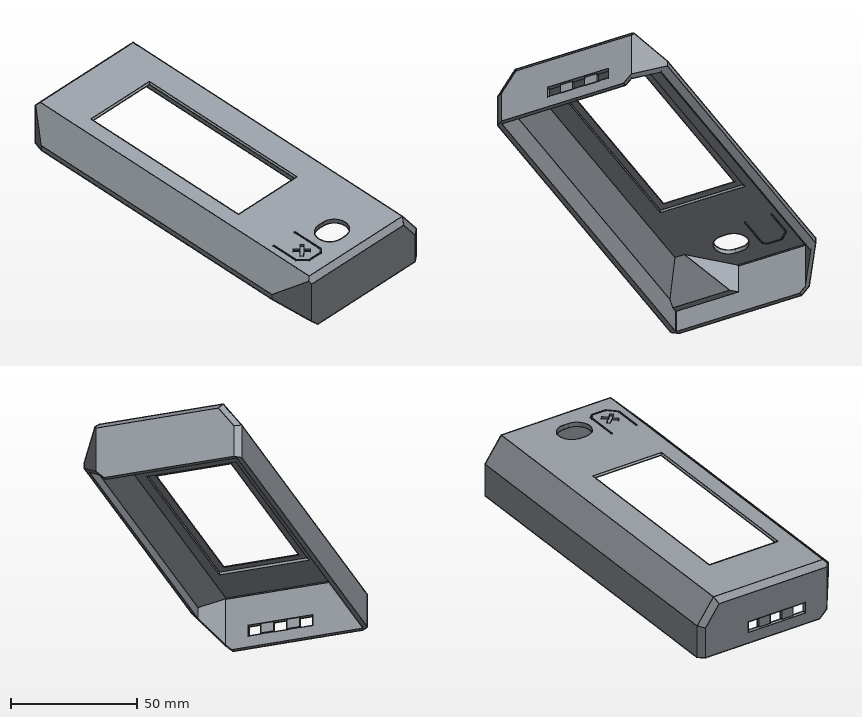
import cadquery as cq
import math

LENGTH = 155.0
DEPTH = 69.9
HEIGHT = 25.4

NOSE_BOTTOM = 12.9
NOSE_TOP = 15.3
CORNER_X = 12.9
CORNER_Y = 9.5
BACK_SLOPE_Y = 7.8
BACK_SLOPE_Z = 10.8
END_BEVEL_X = 2.0
END_BEVEL_INSET = 2.6
END_SLOPE = END_BEVEL_INSET / END_BEVEL_X

WALL = 2.0
END_WALL = 1.7
NOSE_WALL = 2.5
INNER_BEVEL_X = 0.3
CORNER_INNER_X = 12.4
CORNER_INNER_Y = 10.4

WINDOW_X = 24.3
WINDOW_Y = 17.7
WINDOW_LENGTH = 81.4
WINDOW_WIDTH = 31.3
WINDOW_BEVEL = 0.7
WINDOW_LIP = 0.8
RECESS_RIM = 3.1

KNOB_X = 139.5
KNOB_Y = 36.3
KNOB_WIDTH = 12.1
KNOB_HEIGHT = 14.5
BLOCK_LEG = 27.9
BLOCK_BOTTOM = 10.0
BLOCK_LAND = 2.6

SLIT = 0.55
BUTTON_ROOT_X = 129.1
BUTTON_TIP_X = 146.0
BUTTON_LOW_Y = 13.3
BUTTON_HIGH_Y = 25.1
BUTTON_LOW_CORNER = 3.7
BUTTON_HIGH_CORNER = 1.5
CROSS_X = 139.7
CROSS_ARM_LENGTH = 7.0
CROSS_ARM_WIDTH = 1.5
CROSS_DEPTH = 1.0

BAR_COUNT = 2
BAR_WIDTH = 5.5
BAR_THICKNESS = 1.2
BAR_RECESS = 0.6
BAR_GAP = 0.3
SLOT_Y = 19.7
SLOT_BOTTOM = 5.0
SLOT_HEIGHT = 4.8
SLOT_WIDTH = (2 * BAR_COUNT + 1) * BAR_WIDTH

MARGIN = 7.8


def box_at(x, y, z, dx, dy, dz):
    """Box from its lowest corner and its three sizes."""
    return cq.Workplane("XY").box(dx, dy, dz, centered=False).translate((x, y, z))


def plan_prism(points):
    """Upright prism, taller than the part, over an outline in X and Y."""
    base = cq.Workplane("XY").workplane(offset=-MARGIN)
    return base.polyline(points).close().extrude(HEIGHT + 2 * MARGIN)


def profile_prism(points, x_start, x_end):
    """Prism along X over an outline in Y and Z."""
    return cq.Workplane("YZ").workplane(offset=x_start).polyline(points).close().extrude(x_end - x_start)


def bevelled_roof(end, bevel, back, top):
    """Top, back slope and back wall with bevelled ends; it overshoots the front and the bottom.

    `end` is the gap to the overall length at each end, `bevel` the length of the end bevels along X.
    """
    outline = [
        (-MARGIN, -MARGIN),
        (back, -MARGIN),
        (back, top - BACK_SLOPE_Z),
        (back - BACK_SLOPE_Y, top),
        (-MARGIN, top),
    ]
    x_start = end + bevel
    x_end = LENGTH - x_start
    taper = math.degrees(math.atan(END_SLOPE))
    roof = profile_prism(outline, x_start, x_end)
    for x, direction in ((x_start, -1), (x_end, 1)):
        section = cq.Workplane("YZ").workplane(offset=x).polyline(outline).close()
        roof = roof.union(section.extrude(direction * bevel, taper=taper))
    return roof


def outer_body():
    """Roof trimmed by the nose profile and by the plan with its two cut front corners."""
    nose_profile = profile_prism(
        [
            (NOSE_BOTTOM, 0),
            (DEPTH, 0),
            (DEPTH, HEIGHT),
            (HEIGHT - NOSE_TOP, HEIGHT),
            (0, NOSE_TOP),
            (0, NOSE_BOTTOM),
        ],
        0,
        LENGTH,
    )
    plan = plan_prism(
        [
            (CORNER_X, 0),
            (LENGTH - CORNER_X, 0),
            (LENGTH, CORNER_Y),
            (LENGTH, DEPTH),
            (0, DEPTH),
            (0, CORNER_Y),
        ]
    )
    return bevelled_roof(0, END_BEVEL_X, DEPTH, HEIGHT).intersect(nose_profile).intersect(plan)


def cavity():
    """Space inside the shell, open at the bottom and at the sloped front opening."""
    roof = bevelled_roof(END_WALL, INNER_BEVEL_X, DEPTH - WALL, HEIGHT - WALL)
    nose_profile = profile_prism(
        [
            (NOSE_WALL, -MARGIN),
            (DEPTH, -MARGIN),
            (DEPTH, HEIGHT),
            (NOSE_WALL + HEIGHT - NOSE_TOP, HEIGHT),
            (NOSE_WALL, NOSE_TOP),
        ],
        0,
        LENGTH,
    )
    plan = plan_prism(
        [
            (CORNER_INNER_X, NOSE_WALL),
            (LENGTH - CORNER_INNER_X, NOSE_WALL),
            (LENGTH - END_WALL, CORNER_INNER_Y),
            (LENGTH - END_WALL, DEPTH),
            (END_WALL, DEPTH),
            (END_WALL, CORNER_INNER_Y),
        ]
    )
    return roof.intersect(nose_profile).intersect(plan)


def block_space():
    """Corner prism that stays solid inside the shell.

    Its face stands at 45 degrees to X and Y, and its underside is flat by the end wall, then rises at 45 degrees.
    """
    x = LENGTH - END_WALL
    y = DEPTH - WALL
    corner = plan_prism([(x, y), (x - BLOCK_LEG, y), (x, y - BLOCK_LEG)])
    rise = HEIGHT - BLOCK_BOTTOM
    wedge = (
        cq.Workplane("XZ")
        .polyline(
            [
                (x, BLOCK_BOTTOM),
                (x, HEIGHT),
                (x - BLOCK_LAND - rise, HEIGHT),
                (x - BLOCK_LAND, BLOCK_BOTTOM),
            ]
        )
        .close()
        .extrude(-DEPTH)
    )
    return corner.intersect(wedge)


def window_cut():
    """Window through the top plate, bevelled outwards at its upper edge."""
    opening = box_at(WINDOW_X, WINDOW_Y, HEIGHT - WALL, WINDOW_LENGTH, WINDOW_WIDTH, WALL)
    bevel = (
        cq.Workplane("XY")
        .workplane(offset=HEIGHT)
        .center(WINDOW_X + WINDOW_LENGTH / 2, WINDOW_Y + WINDOW_WIDTH / 2)
        .rect(WINDOW_LENGTH + 2 * WINDOW_BEVEL, WINDOW_WIDTH + 2 * WINDOW_BEVEL)
        .extrude(-WINDOW_BEVEL, taper=45)
    )
    return opening.union(bevel)


def screen_recess():
    """Recess in the underside of the top plate, around the window."""
    return box_at(
        WINDOW_X - RECESS_RIM,
        WINDOW_Y - RECESS_RIM,
        HEIGHT - WALL,
        WINDOW_LENGTH + 2 * RECESS_RIM,
        WINDOW_WIDTH + 2 * RECESS_RIM,
        WALL - WINDOW_LIP,
    )


def knob_cut():
    """Oblong hole, longer along Y, through the top plate."""
    base = cq.Workplane("XY").workplane(offset=HEIGHT - MARGIN).center(KNOB_X, KNOB_Y)
    return base.slot2D(KNOB_HEIGHT, KNOB_WIDTH, 90).extrude(2 * MARGIN)


def button_slit():
    """Thin slit around three sides of the button, which stays joined at its root."""
    path = [
        (BUTTON_ROOT_X, BUTTON_LOW_Y),
        (BUTTON_TIP_X - BUTTON_LOW_CORNER, BUTTON_LOW_Y),
        (BUTTON_TIP_X, BUTTON_LOW_Y + BUTTON_LOW_CORNER),
        (BUTTON_TIP_X, BUTTON_HIGH_Y - BUTTON_HIGH_CORNER),
        (BUTTON_TIP_X - BUTTON_HIGH_CORNER, BUTTON_HIGH_Y),
        (BUTTON_ROOT_X, BUTTON_HIGH_Y),
    ]
    base = cq.Workplane("XY").workplane(offset=HEIGHT - MARGIN)
    outer = base.polyline(path).close().offset2D(SLIT / 2, "intersection").extrude(2 * MARGIN)
    inner = base.polyline(path).close().offset2D(-SLIT / 2, "intersection").extrude(2 * MARGIN)
    root = box_at(BUTTON_ROOT_X - MARGIN, 0, 0, MARGIN + SLIT, DEPTH, HEIGHT + MARGIN)
    return outer.cut(inner).cut(root)


def button_cross():
    """Shallow diagonal cross sunk into the button."""
    center_y = (BUTTON_LOW_Y + BUTTON_HIGH_Y) / 2
    base = cq.Workplane("XY").workplane(offset=HEIGHT).center(CROSS_X, center_y)
    long_arm = base.rect(CROSS_ARM_LENGTH, CROSS_ARM_WIDTH).extrude(-CROSS_DEPTH)
    cross_arm = base.rect(CROSS_ARM_WIDTH, CROSS_ARM_LENGTH).extrude(-CROSS_DEPTH)
    return long_arm.union(cross_arm).rotate((CROSS_X, center_y, 0), (CROSS_X, center_y, 1), 45)


def slot_cut():
    """Card slot through the left end wall."""
    return box_at(0, SLOT_Y, SLOT_BOTTOM, END_WALL, SLOT_WIDTH, SLOT_HEIGHT)


def make_cover():
    cover = outer_body().cut(cavity().cut(block_space()))
    cutters = [
        window_cut(),
        screen_recess(),
        knob_cut(),
        button_slit(),
        button_cross(),
        slot_cut(),
    ]
    for cutter in cutters:
        cover = cover.cut(cutter)
    return cover


def make_bar(index):
    """Breakaway bar standing free in the card slot."""
    y = SLOT_Y + (2 * index + 1) * BAR_WIDTH
    z = SLOT_BOTTOM + BAR_GAP
    return box_at(BAR_RECESS, y, z, BAR_THICKNESS, BAR_WIDTH, SLOT_HEIGHT - 2 * BAR_GAP)


cover = make_cover()
bars = [make_bar(index) for index in range(BAR_COUNT)]

result = cq.Compound.makeCompound([cover.solids().val(), *(bar.val() for bar in bars)])